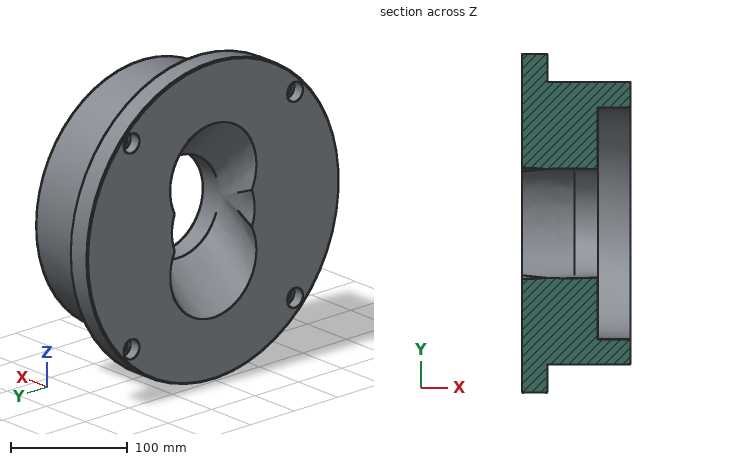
import cadquery as cq
total_length = 93.0
flange_diameter = 290.0
flange_thickness = 22.0
spigot_diameter = 242.0
edge_chamfer = 1.0

centre_mouth_diameter = 95.0
outlet_diameter = 92.7
inlet_diameter = 99.0
inlet_offset = 39.0
merge_depth = 45.0
passage_length = 65.0
centre_taper = (centre_mouth_diameter - outlet_diameter) / passage_length
merge_diameter = centre_mouth_diameter - centre_taper * merge_depth

spigot_wall = 22.0
recess_diameter = spigot_diameter - 2 * spigot_wall
recess_depth = total_length - passage_length

hole_spacing = 188.0
hole_diameter = 11.0
counterbore_diameter = 18.0
counterbore_depth = 11.0


def disc(diameter, start, length):
    """Cylinder along X beginning at x = start."""
    return cq.Workplane("YZ", origin=(start, 0, 0)).circle(diameter / 2).extrude(length)


def centre_passage():
    """Straight conical bore from the flange face to the recess, narrowing on the way."""
    return (
        cq.Workplane("YZ")
        .circle(centre_mouth_diameter / 2)
        .workplane(offset=passage_length)
        .circle(outlet_diameter / 2)
        .loft(ruled=True)
    )


def upper_inlet():
    """Loft from the upper off-centre mouth in the flange face to the centre passage."""
    return (
        cq.Workplane("YZ")
        .center(0, inlet_offset)
        .circle(inlet_diameter / 2)
        .workplane(offset=merge_depth)
        .center(0, -inlet_offset)
        .circle(merge_diameter / 2)
        .loft(ruled=True)
    )


def make_body():
    flange = disc(flange_diameter, 0, flange_thickness).edges().chamfer(edge_chamfer)
    spigot = disc(spigot_diameter, 0, total_length).faces(">X").edges().chamfer(edge_chamfer)
    recess = disc(recess_diameter, passage_length, recess_depth)
    return flange.union(spigot).cut(recess)


def cut_passages(body):
    """Shape the half above Z = 0, where only the upper inlet counts, then mirror it."""
    upper_space = cq.Workplane("XY").box(
        2 * total_length, flange_diameter, flange_diameter, centered=(True, True, False)
    )
    upper_half = body.cut(centre_passage()).cut(upper_inlet()).intersect(upper_space)
    return upper_half.union(upper_half.mirror("XY"))


def cut_screw_holes(body):
    holes = disc(hole_diameter, 0, flange_thickness)
    holes = holes.union(disc(counterbore_diameter, 0, counterbore_depth))
    for side_y in (-1, 1):
        for side_z in (-1, 1):
            body = body.cut(holes.translate((0, side_y * hole_spacing / 2, side_z * hole_spacing / 2)))
    return body


result = cut_screw_holes(cut_passages(make_body()))